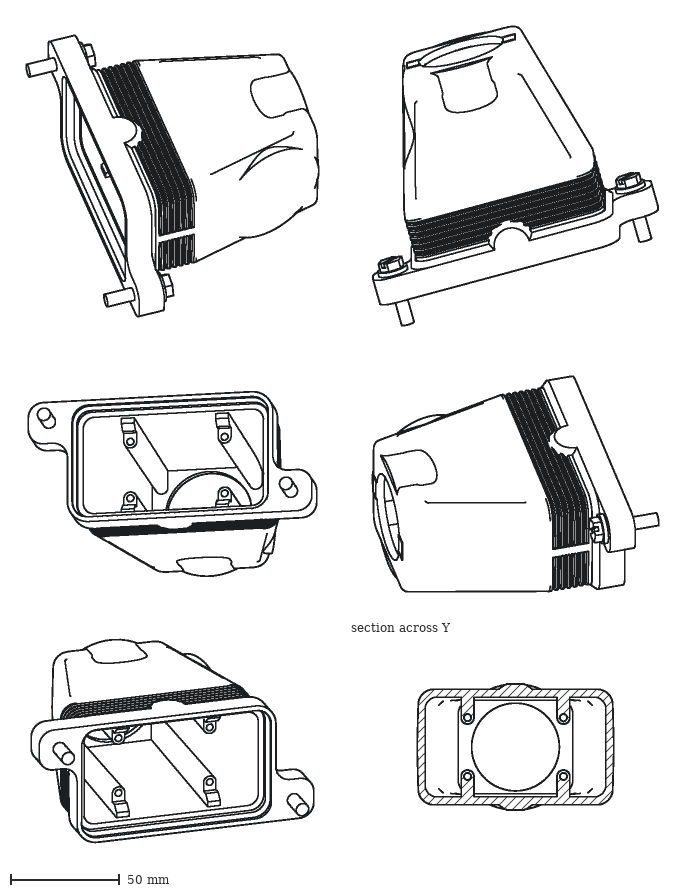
import cadquery as cq


HALF_TURN = 180.0

FLANGE_HALF_X = 48.0
FLANGE_HALF_Z = 29.0
FLANGE_THICKNESS = 12.0
FLANGE_CORNER_RADIUS = 10.0
EAR_END_X = 66.25
EAR_INNER_Z = 9.3
EAR_RADIUS = 7.0

HOOD_HALF_X = 45.2
HOOD_HALF_Z = 26.55
HOOD_CORNER_RADIUS = 7.2
HOOD_TAPER_Y = 34.7
HOOD_END_Y = 99.6
HOOD_END_HALF_X = 27.9
HOOD_SIDE_CROWN = 0.7
HOOD_END_FILLET = 3.0
SKIRT_TOP_Y = 14.85

GROOVE_COUNT = 6
GROOVE_PITCH = 2.95
FIRST_GROOVE_Y = 17.65
GROOVE_DEPTH = 0.75
GROOVE_FLOOR = 0.8
SIDE_LAND_HALF_Z = 2.5

PANEL_DEPTH = 0.35
PANEL_START_Y = 43.0
PANEL_END_Y = 89.0
PANEL_RAMP = 1.5

ENTRY_BOSS_RADIUS = FLANGE_HALF_Z
ENTRY_BOSS_START_Y = 76.6
ENTRY_BOSS_END_Y = 99.2
ENTRY_BOSS_FILLET = 6.0
ENTRY_BORE_RADIUS = 20.1
END_PAD_INNER_X = 19.3
END_PAD_OUTER_X = 25.7
END_PAD_HALF_Z = 5.0
END_PAD_TOP_Y = 100.0

SIDE_BOSS_RADIUS = 26.0
SIDE_BOSS_Y = 74.5
SIDE_BOSS_DEPTH = 10.0

BUMP_RADIUS = 8.2
BUMP_CONE_HEIGHT = 4.5

MOUTH_HALF_X = 45.8
MOUTH_HALF_Z = 26.7
MOUTH_CORNER_RADIUS = 7.8
MOUTH_RAMP_START_Y = 2.0
MOUTH_RAMP_END_Y = 5.3
MOUTH_DEPTH = 8.0
MOUTH_STEP = 1.2
CAVITY_HALF_X = 42.0
CAVITY_HALF_Z = 23.0
CAVITY_CORNER_RADIUS = 5.1
CAVITY_BEND_Y = 39.0
CAVITY_BEND_HALF_X = 40.2
CAVITY_BEND_RADIUS = 5.6
CAVITY_FLOOR_Y = 96.0
CAVITY_FLOOR_HALF_X = 26.3
CAVITY_FLOOR_HALF_Z = 21.4
CAVITY_FLOOR_RADIUS = 6.2

POST_X = 22.0
POST_Z = 13.5
POST_RADIUS = 3.0
POST_HOLE_RADIUS = 1.6
POST_HOLE_DEPTH = 10.0
POST_FACE_Y = 18.4
FOOT_STEP_Y = 15.2
FOOT_STEP_Z = 17.6
FOOT_FRONT_Y = 12.0
FOOT_FRONT_Z = 20.5
POST_WALL_Z = 24.5

SCREW_X = 56.5
SCREW_Z = 19.5
SCREW_RADIUS = 3.0
SCREW_TIP_Y = -13.0
WASHER_RADIUS = 6.9
WASHER_TOP_Y = 14.0
HEAD_TOP_Y = 17.9
HEAD_CIRCUMRADIUS = 5.77
HEAD_SIDES = 6
HEAD_TURN = 15.0
SLOT_WIDTH = 2.0
SLOT_DEPTH = 2.0


def plane_at(y):
    """Plane across the hood at height y, local axes X and Z, normal toward +Y."""
    return cq.Plane(origin=(0, y, 0), xDir=(1, 0, 0), normal=(0, 1, 0))


def cylinder(x, z, radius, start_y, end_y):
    """Cylinder along Y."""
    return cq.Workplane(plane_at(start_y)).center(x, -z).circle(radius).extrude(end_y - start_y)


def block(x_range, y_range, z_range):
    """Axis-aligned block between the given limits."""
    low, high = zip(x_range, y_range, z_range)
    size = [b - a for a, b in zip(low, high)]
    return cq.Workplane("XY").box(*size, centered=False).translate(low)


def crowned_outline(half_x, half_z):
    """Rectangle corners plus a shallow ridge point at Z = 0 on each short side, as (x, z)."""
    corner_x = half_x - HOOD_SIDE_CROWN
    return [
        (half_x, 0),
        (corner_x, half_z),
        (-corner_x, half_z),
        (-half_x, 0),
        (-corner_x, -half_z),
        (corner_x, -half_z),
    ]


def crowned_prism(inset, start_y, end_y):
    """Straight stretch of the hood between two heights, shrunk all round by inset."""
    outline = crowned_outline(HOOD_HALF_X - inset, HOOD_HALF_Z - inset)
    prism = cq.Workplane(plane_at(start_y)).polyline(outline).close().extrude(end_y - start_y)
    corners = prism.edges("|Y").edges("<Z or >Z")
    return corners.fillet(HOOD_CORNER_RADIUS - inset)


def rounded_rectangle(half_x, half_z, radius):
    return cq.Sketch().rect(2 * half_x, 2 * half_z).vertices().fillet(radius)


def rounded_loft(start_y, start, end_y, end):
    """Frustum between two rounded rectangles, each given as (half_x, half_z, corner_radius)."""
    bottom = rounded_rectangle(*start)
    top = rounded_rectangle(*end).moved(cq.Location(cq.Vector(0, 0, end_y - start_y)))
    return cq.Workplane(plane_at(start_y)).placeSketch(bottom, top).loft()


def round_corners(body, corners, radius):
    """Round the edges along Y that stand at the given (x, z) corners of the flange."""
    for x, z in corners:
        at_corner = cq.selectors.NearestToPointSelector((x, FLANGE_THICKNESS / 2, z))
        body = body.edges("|Y").edges(at_corner).fillet(radius)
    return body


def flange():
    """Rectangular flange with a screw ear at two diagonally opposite corners."""
    core = cq.Workplane(plane_at(0)).rect(2 * FLANGE_HALF_X, 2 * FLANGE_HALF_Z).extrude(FLANGE_THICKNESS)
    left_ear = block((-EAR_END_X, 0), (0, FLANGE_THICKNESS), (EAR_INNER_Z, FLANGE_HALF_Z))
    right_ear = left_ear.rotate((0, 0, 0), (0, 1, 0), HALF_TURN)
    body = core.union(left_ear).union(right_ear).clean()
    for side in (-1, 1):
        body = round_corners(body, [(side * FLANGE_HALF_X, side * FLANGE_HALF_Z)], FLANGE_CORNER_RADIUS)
        ear_corners = [
            (side * EAR_END_X, -side * FLANGE_HALF_Z),
            (side * EAR_END_X, -side * EAR_INNER_Z),
            (side * FLANGE_HALF_X, -side * EAR_INNER_Z),
        ]
        body = round_corners(body, ear_corners, EAR_RADIUS)
    return body


def sharp_taper():
    """Tapered stretch of the hood with sharp corners, built from its flat faces."""
    start = [cq.Vector(x, HOOD_TAPER_Y, z) for x, z in crowned_outline(HOOD_HALF_X, HOOD_HALF_Z)]
    end = [cq.Vector(x, HOOD_END_Y, z) for x, z in crowned_outline(HOOD_END_HALF_X, HOOD_HALF_Z)]
    outlines = [start, end]
    for index in range(len(start)):
        outlines.append([start[index - 1], start[index], end[index], end[index - 1]])
    faces = [cq.Face.makeFromWires(cq.Wire.makePolygon(outline, close=True)) for outline in outlines]
    return cq.Workplane(obj=cq.Solid.makeSolid(cq.Shell.makeShell(faces)).fix())


def taper():
    body = sharp_taper()
    lengthwise = body.edges("not(#Y)")
    body = lengthwise.edges("<Z or >Z").fillet(HOOD_CORNER_RADIUS)
    body = body.faces(">Y").edges().fillet(HOOD_END_FILLET)
    for side in (-1, 1):
        body = body.cut(panel(side))
    return body


def skirt():
    top = (HOOD_HALF_X, HOOD_HALF_Z, HOOD_CORNER_RADIUS)
    bottom = (FLANGE_HALF_X, FLANGE_HALF_Z, FLANGE_CORNER_RADIUS)
    return rounded_loft(FLANGE_THICKNESS, bottom, SKIRT_TOP_Y, top)


def ribbed_body():
    """Straight stretch with grip grooves all round, bridged by a land on each narrow side."""
    body = crowned_prism(GROOVE_DEPTH, FLANGE_THICKNESS, HOOD_TAPER_Y)
    full = crowned_prism(0, FLANGE_THICKNESS, HOOD_TAPER_Y)
    land_start_y = FLANGE_THICKNESS
    for index in range(GROOVE_COUNT + 1):
        groove_y = FIRST_GROOVE_Y + index * GROOVE_PITCH
        is_last = index == GROOVE_COUNT
        land_end_y = HOOD_TAPER_Y if is_last else groove_y - GROOVE_FLOOR / 2
        rib = crowned_prism(0, land_start_y, land_end_y)
        if index > 0:
            rib = rib.faces("<Y").edges().chamfer(GROOVE_DEPTH)
        if not is_last:
            rib = rib.faces(">Y").edges().chamfer(GROOVE_DEPTH)
        body = body.union(rib)
        land_start_y = groove_y + GROOVE_FLOOR / 2
    side_lands = block(
        (-HOOD_HALF_X, HOOD_HALF_X), (FLANGE_THICKNESS, HOOD_TAPER_Y), (-SIDE_LAND_HALF_Z, SIDE_LAND_HALF_Z))
    return body.union(full.intersect(side_lands))


def panel(side):
    """Shallow recess with ramped ends on the broad face at side * Z."""
    floor_z = side * (HOOD_HALF_Z - PANEL_DEPTH)
    clear = side * PANEL_DEPTH
    top_z = side * HOOD_HALF_Z
    outline = [
        (PANEL_START_Y, top_z + clear),
        (PANEL_START_Y, top_z),
        (PANEL_START_Y + PANEL_RAMP, floor_z),
        (PANEL_END_Y - PANEL_RAMP, floor_z),
        (PANEL_END_Y, top_z),
        (PANEL_END_Y, top_z + clear),
    ]
    return cq.Workplane("YZ").polyline(outline).close().extrude(HOOD_HALF_X, both=True)


def entry_boss():
    boss = cylinder(0, 0, ENTRY_BOSS_RADIUS, ENTRY_BOSS_START_Y, ENTRY_BOSS_END_Y)
    boss = boss.faces("<Y").edges().fillet(ENTRY_BOSS_FILLET)
    reach = HOOD_END_HALF_X - HOOD_CORNER_RADIUS
    keep = block(
        (-reach, reach), (ENTRY_BOSS_START_Y, ENTRY_BOSS_END_Y), (-ENTRY_BOSS_RADIUS, ENTRY_BOSS_RADIUS))
    return boss.intersect(keep)


def end_pad(side):
    x_range = sorted((side * END_PAD_INNER_X, side * END_PAD_OUTER_X))
    return block(x_range, (CAVITY_FLOOR_Y, END_PAD_TOP_Y), (-END_PAD_HALF_Z, END_PAD_HALF_Z))


def side_boss():
    """Round boss flush with the +X slope that fills out the rounded corners beside it."""
    slope = (HOOD_HALF_X - HOOD_END_HALF_X) / (HOOD_END_Y - HOOD_TAPER_Y)
    centre_x = HOOD_HALF_X - slope * (SIDE_BOSS_Y - HOOD_TAPER_Y)
    plane = cq.Plane(origin=(centre_x, SIDE_BOSS_Y, 0), xDir=(0, 0, 1), normal=(1, slope, 0))
    boss = cq.Workplane(plane).circle(SIDE_BOSS_RADIUS).extrude(-SIDE_BOSS_DEPTH)
    return boss.intersect(sharp_taper())


def flange_bump(side):
    """Half disc flush with the flange edge, widening as a 45 degree cone toward the hood."""
    plane = cq.Plane(origin=(0, FLANGE_THICKNESS, side * FLANGE_HALF_Z), xDir=(1, 0, 0), normal=(0, 0, -side))
    cone = cq.Workplane(plane).circle(BUMP_RADIUS)
    cone = cone.workplane(offset=BUMP_CONE_HEIGHT).circle(BUMP_RADIUS + BUMP_CONE_HEIGHT).loft()
    reach = BUMP_RADIUS + BUMP_CONE_HEIGHT
    above_flange = block(
        (-reach, reach), (FLANGE_THICKNESS, FLANGE_THICKNESS + reach), (-FLANGE_HALF_Z, FLANGE_HALF_Z))
    return cone.intersect(above_flange)


def cavity():
    mouth = (MOUTH_HALF_X, MOUTH_HALF_Z, MOUTH_CORNER_RADIUS)
    seat = tuple(size - MOUTH_STEP for size in mouth)
    opening = (CAVITY_HALF_X, CAVITY_HALF_Z, CAVITY_CORNER_RADIUS)
    bend_fraction = (CAVITY_BEND_Y - MOUTH_DEPTH) / (CAVITY_FLOOR_Y - MOUTH_DEPTH)
    bend_half_z = CAVITY_HALF_Z + bend_fraction * (CAVITY_FLOOR_HALF_Z - CAVITY_HALF_Z)
    bend = (CAVITY_BEND_HALF_X, bend_half_z, CAVITY_BEND_RADIUS)
    floor = (CAVITY_FLOOR_HALF_X, CAVITY_FLOOR_HALF_Z, CAVITY_FLOOR_RADIUS)
    space = rounded_loft(0, mouth, MOUTH_RAMP_START_Y, mouth)
    space = space.union(rounded_loft(MOUTH_RAMP_START_Y, mouth, MOUTH_RAMP_END_Y, seat))
    space = space.union(rounded_loft(MOUTH_RAMP_END_Y, seat, MOUTH_DEPTH, seat))
    space = space.union(rounded_loft(MOUTH_DEPTH, opening, CAVITY_BEND_Y, bend))
    space = space.union(rounded_loft(CAVITY_BEND_Y, bend, CAVITY_FLOOR_Y, floor))
    return space.union(cylinder(0, 0, ENTRY_BORE_RADIUS, CAVITY_FLOOR_Y, END_PAD_TOP_Y))


def post(x, side):
    """Post with a screw hole along the wall at side * Z, with a foot stepping toward the mouth."""
    profile = [
        (POST_FACE_Y, side * POST_Z),
        (POST_FACE_Y, side * FOOT_STEP_Z),
        (FOOT_STEP_Y, side * FOOT_STEP_Z),
        (FOOT_FRONT_Y, side * FOOT_FRONT_Z),
        (FOOT_FRONT_Y, side * POST_WALL_Z),
        (CAVITY_FLOOR_Y, side * POST_WALL_Z),
        (CAVITY_FLOOR_Y, side * POST_Z),
    ]
    web = cq.Workplane("YZ").polyline(profile).close().extrude(POST_RADIUS, both=True).translate((x, 0, 0))
    rounded = cylinder(x, side * POST_Z, POST_RADIUS, POST_FACE_Y, CAVITY_FLOOR_Y)
    hole = cylinder(x, side * POST_Z, POST_HOLE_RADIUS, POST_FACE_Y, POST_FACE_Y + POST_HOLE_DEPTH)
    return web.union(rounded).cut(hole)


def screw(x, z):
    """Captive screw with a washer and a hexagon head slotted across two opposite flats."""
    shank = cylinder(x, z, SCREW_RADIUS, SCREW_TIP_Y, FLANGE_THICKNESS)
    washer = cylinder(x, z, WASHER_RADIUS, FLANGE_THICKNESS, WASHER_TOP_Y)
    head = cq.Workplane(plane_at(WASHER_TOP_Y)).polygon(HEAD_SIDES, 2 * HEAD_CIRCUMRADIUS)
    head = head.extrude(HEAD_TOP_Y - WASHER_TOP_Y)
    slot = cq.Workplane(plane_at(HEAD_TOP_Y)).transformed(rotate=(0, 0, HALF_TURN / HEAD_SIDES))
    slot = slot.rect(2 * HEAD_CIRCUMRADIUS, SLOT_WIDTH).extrude(-SLOT_DEPTH)
    head = head.cut(slot).rotate((0, 0, 0), (0, 1, 0), HEAD_TURN).translate((x, 0, z))
    return shank.union(washer).union(head)


def assemble():
    outside = ribbed_body().union(taper()).union(skirt()).union(entry_boss()).union(side_boss())
    for side in (-1, 1):
        outside = outside.union(end_pad(side)).union(flange_bump(side))
    body = outside.union(flange()).cut(cavity())
    for side in (-1, 1):
        for x in (-POST_X, POST_X):
            body = body.union(post(x, side))
        body = body.union(screw(side * SCREW_X, -side * SCREW_Z))
    return body.clean()


result = assemble()